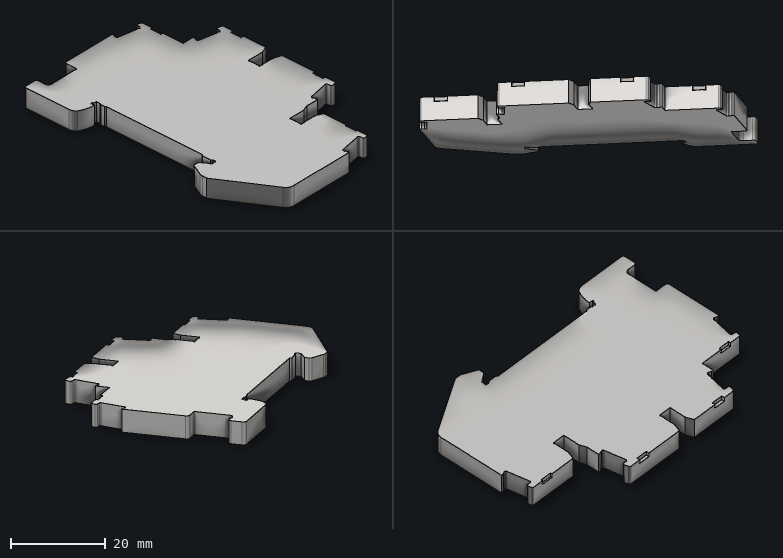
import cadquery as cq
import math

LENGTH = 67.8
HEIGHT = 45.8
THICKNESS = 5.15

LOWER_TOP = 35.2
LOWER_CENTRE = LENGTH / 2
LOWER_HALF_WIDTH = LENGTH / 2
LOWER_LIP = 1.6
LOWER_LIP_TOP_RADIUS = 0.35
UPPER_TOP = HEIGHT
UPPER_CENTRE = 31.25
UPPER_HALF_WIDTH = 17.8
UPPER_LIP = 1.9
UPPER_LIP_TOP_RADIUS = 0.5

LIP_INSET = 1.2
LIP_LEAN = 0.4
LIP_RISE = 0.2
LIP_TIP_RADIUS = 0.35
UNDERCUT_INSET = 2.8
FLANK_FOOT_INSET = 1.6
LEDGE_DROP = 7.5
LEDGE_FLAT = 0.5
GROOVE_INSET = 1.15
GROOVE_DEPTH = 0.3
FLANK_RADIUS = 0.3

SLOT_WIDTH = 3.2
SLOT_MOUTH = 4.7
SLOT_MOUTH_DEPTH = 2.0
SLOT_DEPTH = 6.3
UPPER_SLOT_X = 29.75
LOWER_SLOT_X = 51.3

RECESS_WIDTH = 2.85
RECESS_INSET = 6.1
RECESS_DEPTH = 1.0
UPPER_RECESS_REACH = 0.75
LOWER_LEFT_RECESS_REACH = 0.55
LOWER_RIGHT_RECESS_REACH = 0.4

NOTCH_X = 3.5
NOTCH_TOP = 12.7
NOTCH_BOTTOM = 3.85
NOTCH_RADIUS = 0.95
NOTCH_TOP_RADIUS = 0.2
CORNER_RADIUS = 0.75
FOOT_CORNER_RADIUS = 0.7
FOOT_FLAT_END = 12.9
FOOT_HEEL = (14.65, 0.8)
FOOT_SIDE = (15.4, 2.5)
FOOT_TOE = (15.8, 4.9)

SEAT_Y = 6.1
RELIEF_X = 14.8
RELIEF_TOP = 5.3
SEAT_LEFT = 15.2
LEFT_PAD = (16.2, 18.05)
LEFT_PAD_DROP = 0.2
RIGHT_PAD = (45.4, 48.5)
RIGHT_PAD_DROP = 0.35
PAD_RAMP = 0.4
SEAT_RIGHT = 49.3

HOOK_ROOT_Y = 4.9
HOOK_TIP_X = 46.85
HOOK_TIP_TOP = 3.25
HOOK_TIP_BOTTOM = 1.8
HOOK_TIP_RADIUS = 0.6
SOLE_START = 50.65
SOLE_END = 52.3
SOLE_RADIUS = 1.9
SLOPE_ANGLE = 30.0
SLOPE_TOP = (LENGTH - SOLE_END) * math.tan(math.radians(SLOPE_ANGLE))
SLOPE_RADIUS = 2.4


def latch_points(centre, half_width, top, lip, side):
    """Latch outline from the ledge end up to the tier top; side is -1 for left, +1 for right."""
    ledge = top - LEDGE_DROP
    inset_and_y = [
        (0, ledge),
        (LEDGE_FLAT, ledge),
        (GROOVE_INSET, ledge - GROOVE_DEPTH),
        (FLANK_FOOT_INSET, ledge - GROOVE_DEPTH),
        (UNDERCUT_INSET, top - lip),
        (LIP_INSET, top - lip + LIP_RISE),
        (LIP_INSET + LIP_LEAN, top),
    ]
    return [(centre + side * (half_width - inset), y) for inset, y in inset_and_y]


def tier_outline(centre, half_width, top, lip):
    """Outline over a tier, from its left ledge end to its right ledge end."""
    left = latch_points(centre, half_width, top, lip, -1)
    right = latch_points(centre, half_width, top, lip, 1)
    return left + right[::-1]


def round_edges(body, corners, radius):
    """Round the edges parallel to Z that stand at the given XY corners."""
    for x, y in corners:
        edge = cq.selectors.NearestToPointSelector((x, y, THICKNESS / 2))
        body = body.edges("|Z").edges(edge).fillet(radius)
    return body


def round_latches(body, tier, top_radius):
    """Round the lip, the undercut and the flank foot at both ends of a tier."""
    for end in (tier, tier[::-1]):
        flank_foot, undercut, lip_tip, lip_top = end[3:7]
        body = round_edges(body, [flank_foot, undercut], FLANK_RADIUS)
        body = round_edges(body, [lip_tip], LIP_TIP_RADIUS)
        body = round_edges(body, [lip_top], top_radius)
    return body


def lower_body():
    lower_tier = tier_outline(LOWER_CENTRE, LOWER_HALF_WIDTH, LOWER_TOP, LOWER_LIP)
    outline = (
        cq.Workplane("XY")
        .moveTo(0, 0)
        .lineTo(FOOT_FLAT_END, 0)
        .tangentArcPoint(FOOT_HEEL, relative=False)
        .threePointArc(FOOT_SIDE, FOOT_TOE)
    )
    underside = [
        (RELIEF_X, FOOT_TOE[1]),
        (RELIEF_X, RELIEF_TOP),
        (SEAT_LEFT, RELIEF_TOP),
        (SEAT_LEFT, SEAT_Y),
        (LEFT_PAD[0], SEAT_Y),
        (LEFT_PAD[0] + PAD_RAMP, SEAT_Y - LEFT_PAD_DROP),
        (LEFT_PAD[1] - PAD_RAMP, SEAT_Y - LEFT_PAD_DROP),
        (LEFT_PAD[1], SEAT_Y),
        (RIGHT_PAD[0], SEAT_Y),
        (RIGHT_PAD[0] + PAD_RAMP, SEAT_Y - RIGHT_PAD_DROP),
        (RIGHT_PAD[1] - PAD_RAMP, SEAT_Y - RIGHT_PAD_DROP),
        (RIGHT_PAD[1], SEAT_Y),
        (SEAT_RIGHT, SEAT_Y),
        (SEAT_RIGHT, HOOK_ROOT_Y),
        (HOOK_TIP_X, HOOK_TIP_TOP),
        (HOOK_TIP_X, HOOK_TIP_BOTTOM),
        (SOLE_START, 0),
        (SOLE_END, 0),
        (LENGTH, SLOPE_TOP),
    ]
    notch = [
        (0, NOTCH_TOP),
        (NOTCH_X, NOTCH_TOP),
        (NOTCH_X, NOTCH_BOTTOM),
        (0, NOTCH_BOTTOM),
    ]
    for point in underside + lower_tier[::-1] + notch:
        outline = outline.lineTo(*point)
    body = outline.close().extrude(THICKNESS)

    body = round_edges(body, [(0, 0), (0, NOTCH_TOP)], CORNER_RADIUS)
    body = round_edges(body, [(0, NOTCH_BOTTOM)], FOOT_CORNER_RADIUS)
    body = round_edges(body, [(NOTCH_X, NOTCH_TOP)], NOTCH_TOP_RADIUS)
    body = round_edges(body, [(NOTCH_X, NOTCH_BOTTOM)], NOTCH_RADIUS)
    body = round_edges(body, [(HOOK_TIP_X, HOOK_TIP_BOTTOM)], HOOK_TIP_RADIUS)
    body = round_edges(body, [(SOLE_START, 0)], SOLE_RADIUS)
    body = round_edges(body, [(LENGTH, SLOPE_TOP)], SLOPE_RADIUS)
    return round_latches(body, lower_tier, LOWER_LIP_TOP_RADIUS)


def upper_body():
    upper_tier = tier_outline(UPPER_CENTRE, UPPER_HALF_WIDTH, UPPER_TOP, UPPER_LIP)
    base_y = LOWER_TOP - SLOT_DEPTH
    base = [
        (UPPER_CENTRE + UPPER_HALF_WIDTH, base_y),
        (UPPER_CENTRE - UPPER_HALF_WIDTH, base_y),
    ]
    body = cq.Workplane("XY").polyline(upper_tier + base).close().extrude(THICKNESS)
    return round_latches(body, upper_tier, UPPER_LIP_TOP_RADIUS)


def slot(centre, top):
    half_mouth = SLOT_MOUTH / 2
    half_width = SLOT_WIDTH / 2
    outline = [
        (centre - half_mouth, top),
        (centre - half_width, top - SLOT_MOUTH_DEPTH),
        (centre - half_width, top - SLOT_DEPTH),
        (centre + half_width, top - SLOT_DEPTH),
        (centre + half_width, top - SLOT_MOUTH_DEPTH),
        (centre + half_mouth, top),
    ]
    return cq.Workplane("XY").polyline(outline).close().extrude(THICKNESS)


def recess(centre, half_width, top, reach, side):
    """Recess beside one end of a tier; side is -1 for left, +1 for right."""
    x = centre + side * (half_width - RECESS_INSET)
    return (
        cq.Workplane("XY", origin=(x, top - reach / 2, THICKNESS))
        .rect(RECESS_WIDTH, reach)
        .extrude(-RECESS_DEPTH)
    )


result = (
    lower_body()
    .cut(slot(LOWER_SLOT_X, LOWER_TOP))
    .union(upper_body())
    .cut(slot(UPPER_SLOT_X, UPPER_TOP))
    .cut(recess(UPPER_CENTRE, UPPER_HALF_WIDTH, UPPER_TOP, UPPER_RECESS_REACH, -1))
    .cut(recess(UPPER_CENTRE, UPPER_HALF_WIDTH, UPPER_TOP, UPPER_RECESS_REACH, 1))
    .cut(recess(LOWER_CENTRE, LOWER_HALF_WIDTH, LOWER_TOP, LOWER_LEFT_RECESS_REACH, -1))
    .cut(recess(LOWER_CENTRE, LOWER_HALF_WIDTH, LOWER_TOP, LOWER_RIGHT_RECESS_REACH, 1))
)